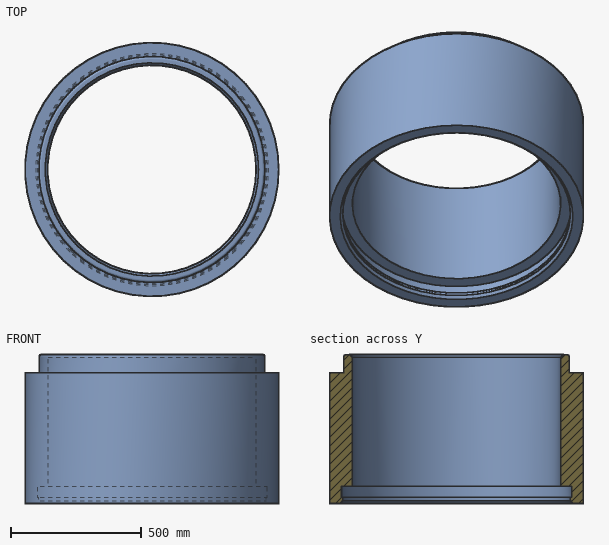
import cadquery as cq

outer_radius = 488.0
bore_radius = 400.0
total_height = 574.0

spigot_radius = 434.0
spigot_height = 70.0
spigot_fillet = 10.0
bore_chamfer_width = 10.0
bore_chamfer_height = 12.0

socket_depth = 66.0
lip_radius = 437.0
lip_height = 25.0
lip_width = 5.0
mouth_chamfer_width = 10.0
mouth_chamfer_height = 12.0

shoulder_height = total_height - spigot_height
socket_radius = lip_radius + lip_width
mouth_radius = lip_radius + mouth_chamfer_width


def make_wall_section():
    """Closed half section of the ring wall: outside, spigot, bore, then socket."""
    return (
        cq.Workplane("XZ")
        .moveTo(mouth_radius, 0)
        .lineTo(outer_radius, 0)
        .lineTo(outer_radius, shoulder_height)
        .lineTo(spigot_radius, shoulder_height)
        .lineTo(spigot_radius, total_height - spigot_fillet)
        .radiusArc((spigot_radius - spigot_fillet, total_height), -spigot_fillet)
        .lineTo(bore_radius + bore_chamfer_width, total_height)
        .lineTo(bore_radius, total_height - bore_chamfer_height)
        .lineTo(bore_radius, socket_depth)
        .lineTo(socket_radius, socket_depth)
        .lineTo(socket_radius, lip_height)
        .lineTo(lip_radius, lip_height)
        .lineTo(lip_radius, mouth_chamfer_height)
        .close()
    )


result = make_wall_section().revolve(360, (0, 0, 0), (0, 1, 0))